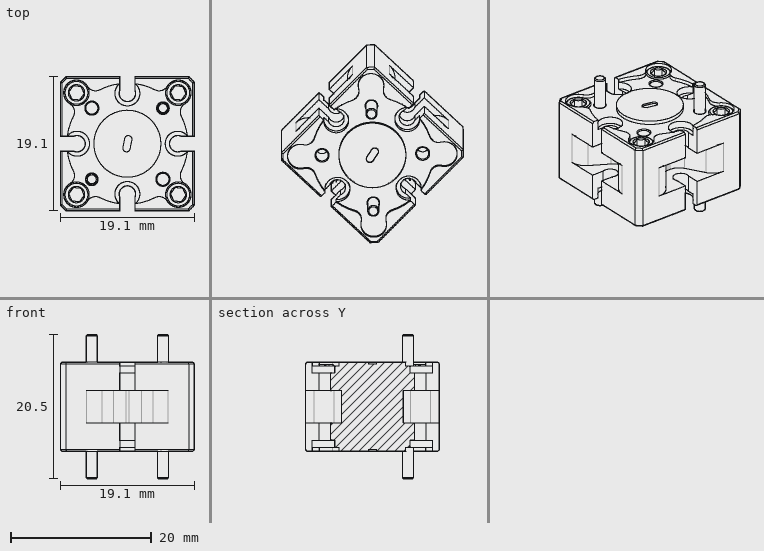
import cadquery as cq
import math

body_width = 19.05
body_height = 12.7
corner_chamfer = 0.8
rim_chamfer = 0.25
half_width = body_width / 2
half_height = body_height / 2

bolt_circle_radius = 7.15
pin_offset = bolt_circle_radius / math.sqrt(2)
corner_offset = 7.23

recess_depth = 0.53
recess_radius = 8.6
lobe_radius = 1.82
lobe_blend_radius = 1.33
lobe_direction = 45.0
floor_height = half_height - recess_depth

boss_diameter = 9.52
opening_length = 2.33
opening_width = 1.05
opening_depth = 0.25
opening_angle = 78.75

slot_width = 2.1
slot_hole_radius = 1.15
slot_counterbore_diameter = 3.55
slot_counterbore_depth = 1.02

pocket_height = 4.59
pocket_depth = 5.12
pocket_floor_half_width = 1.4
pocket_wall_angle = 60.0
pocket_floor_fillet = 2.05
pocket_mouth_fillet = 2.5

pin_radius = 0.8
pin_length = 20.47
pin_chamfer = 0.16
pin_rim_clearance = 0.1
dowel_hole_radius = 0.85
dowel_hole_depth = 4.1
dowel_hole_chamfer = 0.15

screw_head_radius = 1.8
screw_head_top_radius = 1.62
screw_head_rise = 0.16
socket_across_corners = 2.21
socket_rim_radius = 1.17
socket_depth = 1.85
socket_sides = 6
socket_turn = -6.0

pin_points = [(pin_offset, pin_offset), (-pin_offset, -pin_offset)]
dowel_hole_points = [(pin_offset, -pin_offset), (-pin_offset, pin_offset)]
corner_points = [(sx * corner_offset, sy * corner_offset) for sx in (-1, 1) for sy in (-1, 1)]
side_angles = (0, 90, 180, 270)
z_axis = ((0, 0, 0), (0, 0, 1))


def cylinders(points, radius, bottom, height):
    """Upright cylinders of one size standing on the given points."""
    return cq.Workplane("XY", origin=(0, 0, bottom)).pushPoints(points).circle(radius).extrude(height)


def cone(point, bottom_radius, top_radius, bottom, height):
    """Upright truncated cone."""
    solid = cq.Solid.makeCone(bottom_radius, top_radius, height, cq.Vector(*point, bottom))
    return cq.Workplane(solid)


def around_sides(shape):
    """The shape repeated on all four sides of the block."""
    repeated = shape
    for angle in side_angles[1:]:
        repeated = repeated.union(shape.rotate(*z_axis, angle))
    return repeated


def on_both_ends(shape):
    """The shape together with its mirror image in the mid-plane."""
    return shape.union(shape.mirror("XY"))


def make_block():
    block = cq.Workplane("XY").box(body_width, body_width, body_height)
    return block.edges("|Z").chamfer(corner_chamfer).faces("<Z or >Z").chamfer(rim_chamfer)


def make_lobe_blend():
    """Fill between the round recess and one lobe, hollowed by an arc tangent to both."""
    lobe_distance = math.hypot(corner_offset, corner_offset)
    from_centre = recess_radius + lobe_blend_radius
    from_lobe = lobe_radius + lobe_blend_radius
    along = (from_centre**2 - from_lobe**2 + lobe_distance**2) / (2 * lobe_distance)
    across = math.sqrt(from_centre**2 - along**2)
    kite = [(0, 0), (along, -across), (lobe_distance, 0), (along, across)]
    arc_centres = [(along, -across), (along, across)]
    blend = cq.Workplane("XY", origin=(0, 0, floor_height)).polyline(kite).close().extrude(recess_depth)
    blend = blend.cut(cylinders(arc_centres, lobe_blend_radius, floor_height, recess_depth))
    return blend.rotate(*z_axis, lobe_direction)


def make_recess():
    recess = cylinders([(0, 0)], recess_radius, floor_height, recess_depth)
    recess = recess.union(cylinders(corner_points, lobe_radius, floor_height, recess_depth))
    recess = recess.union(around_sides(make_lobe_blend()))
    return recess.cut(cylinders([(0, 0)], boss_diameter / 2, floor_height, recess_depth))


def make_opening():
    opening = cq.Workplane("XY", origin=(0, 0, half_height - opening_depth))
    return opening.slot2D(opening_length, opening_width, opening_angle).extrude(opening_depth)


def make_side_slot():
    """Slot open to the +X side, ending in a wider hole with a counterbore at each end."""
    hole_centre = [(bolt_circle_radius, 0)]
    slot_length = half_width - bolt_circle_radius
    slot = cq.Workplane("XY").box(slot_length, slot_width, body_height)
    slot = slot.translate((bolt_circle_radius + slot_length / 2, 0, 0))
    slot = slot.union(cylinders(hole_centre, slot_hole_radius, -half_height, body_height))
    counterbore_floor = floor_height - slot_counterbore_depth
    counterbore_height = half_height - counterbore_floor
    counterbore_radius = slot_counterbore_diameter / 2
    counterbore = cylinders(hole_centre, counterbore_radius, counterbore_floor, counterbore_height)
    return slot.union(on_both_ends(counterbore))


def make_side_pocket():
    """Pocket in the -Y side: flat floor, sloped walls, floor and mouth rounded by tangent arcs."""
    wall = math.radians(pocket_wall_angle)
    floor_y = -half_width + pocket_depth
    mouth_half_width = pocket_floor_half_width + pocket_depth / math.tan(wall)

    def corner_arc(corner_x, corner_y, radius, side):
        """Start, middle and end of the arc rounding a corner; side is +1 at the floor, -1 at the mouth."""
        tangent_length = radius * math.tan(wall / 2)
        flat_x = corner_x - side * tangent_length
        centre_y = corner_y - side * radius
        return [
            (flat_x + side * radius * math.sin(turn), centre_y + side * radius * math.cos(turn))
            for turn in (0, wall / 2, wall)
        ]

    floor_arc = corner_arc(pocket_floor_half_width, floor_y, pocket_floor_fillet, 1)
    mouth_arc = corner_arc(mouth_half_width, -half_width, pocket_mouth_fillet, -1)

    def mirrored(points):
        return [(-x, y) for x, y in points]

    left_floor_arc = mirrored(floor_arc)
    left_mouth_arc = mirrored(mouth_arc)
    profile = (
        cq.Workplane("XY", origin=(0, 0, -pocket_height / 2))
        .moveTo(*floor_arc[0])
        .threePointArc(floor_arc[1], floor_arc[2])
        .lineTo(*mouth_arc[2])
        .threePointArc(mouth_arc[1], mouth_arc[0])
        .lineTo(*left_mouth_arc[0])
        .threePointArc(left_mouth_arc[1], left_mouth_arc[2])
        .lineTo(*left_floor_arc[2])
        .threePointArc(left_floor_arc[1], left_floor_arc[0])
        .close()
    )
    return profile.extrude(pocket_height)


def make_dowel_holes():
    """Blind chamfered holes, and the small countersinks around the pins."""
    holes = cylinders(dowel_hole_points, dowel_hole_radius, floor_height - dowel_hole_depth, dowel_hole_depth)
    for point in dowel_hole_points:
        rim_radius = dowel_hole_radius + dowel_hole_chamfer
        chamfer_bottom = floor_height - dowel_hole_chamfer
        holes = holes.union(cone(point, dowel_hole_radius, rim_radius, chamfer_bottom, dowel_hole_chamfer))
    for point in pin_points:
        rim_radius = pin_radius + pin_rim_clearance
        chamfer_bottom = floor_height - pin_rim_clearance
        holes = holes.union(cone(point, pin_radius, rim_radius, chamfer_bottom, pin_rim_clearance))
    return holes


def make_pins():
    pins = cylinders(pin_points, pin_radius, -pin_length / 2, pin_length)
    return pins.faces("<Z or >Z").chamfer(pin_chamfer)


def make_screw_heads():
    """Bevelled heads showing above the recess floor."""
    heads = cq.Workplane("XY")
    for point in corner_points:
        heads = heads.add(cone(point, screw_head_radius, screw_head_top_radius, floor_height, screw_head_rise))
    return heads.combine()


def make_screw_sockets():
    """Hexagon sockets, each turned about its own axis and with a conical rim."""
    flat_radius = socket_across_corners / 2 * math.cos(math.pi / socket_sides)
    rim_depth = socket_rim_radius - flat_radius
    head_top = floor_height + screw_head_rise
    socket = cq.Workplane("XY", origin=(0, 0, head_top - socket_depth))
    socket = socket.polygon(socket_sides, socket_across_corners).extrude(socket_depth)
    socket = socket.rotate(*z_axis, socket_turn)
    socket = socket.union(cone((0, 0), flat_radius, socket_rim_radius, head_top - rim_depth, rim_depth))
    sockets = cq.Workplane("XY")
    for x, y in corner_points:
        sockets = sockets.add(socket.translate((x, y, 0)))
    return sockets.combine()


result = make_block()
result = result.cut(on_both_ends(make_recess()))
result = result.cut(on_both_ends(make_opening()))
result = result.cut(around_sides(make_side_slot()))
result = result.cut(around_sides(make_side_pocket()))
result = result.cut(on_both_ends(make_dowel_holes()))
result = result.union(make_pins())
result = result.union(make_screw_heads())
result = result.cut(make_screw_sockets())